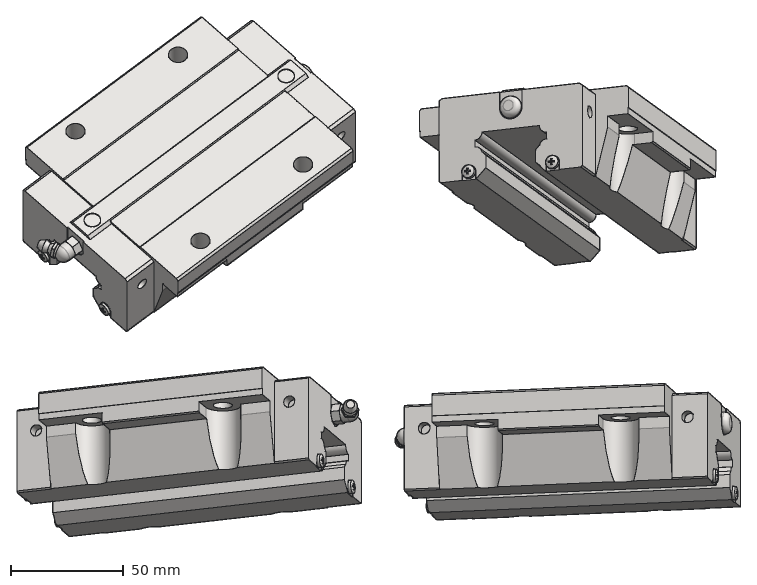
import cadquery as cq
import math


BLOCK_WIDTH = 100.0
BLOCK_LENGTH = 105.8
HEIGHT = 40.5
FLANGE_STEP_Z = 30.2
FLANGE_STEP = 0.3
FLANGE_EDGE_CHAMFER = 1.0
FLANGE_LUG_Z = 22.4
LUG_EDGE_CHAMFER = 0.6
SPOT_FACE_Z = 27.4
NECK_HALF_WIDTH = 40.0
SKIRT_TOP_Z = 22.3
SKIRT_BOTTOM_HALF_WIDTH = 34.2
TOP_RELIEF_DEPTH = 0.5
RELIEF_OUTER_X = 25.4
CENTER_LAND_HALF_WIDTH = 5.0

BOLT_SPACING_X = 82.0
BOLT_SPACING_Y = 62.0
BOLT_HOLE_DIAMETER = 8.5
SPOT_FACE_RADIUS = 8.1

OVERALL_CAP_LENGTH = 138.0
CAP_WIDTH = 68.4
CAP_HEIGHT = 39.0
CAP_CHAMFER_WIDTH = 1.4
CAP_CHAMFER_HEIGHT = 1.0
CAP_FOOT_CHAMFER = 0.7
SEAL_THICKNESS = 3.1
RIDGE_BASE_HALF_WIDTH = 6.5
TOP_PORT_DIAMETER = 7.4
TOP_PORT_DEPTH = 0.5
TOP_PORT_Y = 58.5
SIDE_PORT_DIAMETER = 5.2
SIDE_PORT_DEPTH = 6.0
SIDE_PORT_Y = 59.9
SIDE_PORT_Z = 28.0

CHANNEL_TOP_HALF_WIDTH = 13.7
RACE_HALF_WIDTH = 17.1
RACE_TOP_Z = 18.0
RACE_BOTTOM_Z = 14.9
CHANNEL_THROAT_HALF_WIDTH = 11.9
LOWER_RACE_SWEEP = 75.0
THROAT_BOTTOM_Z = 4.6

PORT_Z = 31.4
PORT_SLOT_HALF_WIDTH = 5.3
SEAL_SLOT_DEPTH = 0.5
SCREW_X = 20.0
SCREW_Z = 3.6
SCREW_SLOT_HALF_WIDTH = 3.2
SCREW_HEAD_RADIUS = 3.0
SCREW_RIM_HEIGHT = 1.1
SCREW_HEAD_HEIGHT = 1.8
CROSS_LENGTH = 2.8
CROSS_WIDTH = 0.7
CROSS_DEPTH = 1.0
PLUG_RADIUS = 5.0
PLUG_EDGE_ROUND = 2.6
PLUG_HEIGHT = 3.0
NIPPLE_HEX_ACROSS_CORNERS = 9.2
NIPPLE_HEX_HEIGHT = 3.6
ELBOW_RADIUS = 4.0
ELBOW_REACH = 6.93
NIPPLE_ANGLE = 22.0
COLLAR_ACROSS_CORNERS = 7.9
COLLAR_START = 3.5
COLLAR_END = 4.9
NIPPLE_NECK_START_RADIUS = 3.1
NIPPLE_NECK_RADIUS = 2.15
NIPPLE_NECK_STATION = 6.9
NIPPLE_HEAD_RADIUS = 3.2
NIPPLE_HEAD_STATION = 9.1
NIPPLE_TIP_RADIUS = 1.8
NIPPLE_TIP_STATION = 12.1

block_half_width = BLOCK_WIDTH / 2
block_end = BLOCK_LENGTH / 2
cap_end = OVERALL_CAP_LENGTH / 2
cap_length = cap_end - block_end
front, rear = -1, 1
sides = (-1, 1)


def mirrored_prism(half_outline, length, center_y=0.0):
    """Prism along Y from an outline drawn on the +X side, mirrored about X = 0."""
    outline = half_outline + [(-x, z) for x, z in reversed(half_outline)]
    prism = cq.Workplane("XZ").polyline(outline).close().extrude(length / 2, both=True)
    return prism.translate((0, center_y, 0))


def box_between(x_range, y_range, z_range):
    """Box spanning the given (low, high) range along each axis."""
    size = [high - low for low, high in (x_range, y_range, z_range)]
    return cq.Workplane("XY").box(*size, centered=False).translate((x_range[0], y_range[0], z_range[0]))


def make_block():
    relief_z = HEIGHT - TOP_RELIEF_DEPTH
    flange_side = block_half_width - FLANGE_STEP
    block = mirrored_prism(
        [
            (CENTER_LAND_HALF_WIDTH, HEIGHT),
            (CENTER_LAND_HALF_WIDTH + TOP_RELIEF_DEPTH, relief_z),
            (RELIEF_OUTER_X - TOP_RELIEF_DEPTH, relief_z),
            (RELIEF_OUTER_X, HEIGHT),
            (block_half_width - FLANGE_EDGE_CHAMFER, HEIGHT),
            (block_half_width, HEIGHT - FLANGE_EDGE_CHAMFER),
            (block_half_width, FLANGE_STEP_Z),
            (flange_side, FLANGE_STEP_Z),
            (flange_side, SPOT_FACE_Z),
            (NECK_HALF_WIDTH, SPOT_FACE_Z),
            (NECK_HALF_WIDTH, SKIRT_TOP_Z),
            (SKIRT_BOTTOM_HALF_WIDTH, 0),
        ],
        BLOCK_LENGTH,
    )
    lug_length = BOLT_SPACING_Y - 2 * SPOT_FACE_RADIUS
    lug = mirrored_prism(
        [
            (flange_side, SPOT_FACE_Z),
            (flange_side, FLANGE_LUG_Z + LUG_EDGE_CHAMFER),
            (flange_side - LUG_EDGE_CHAMFER, FLANGE_LUG_Z),
        ],
        lug_length,
    )
    lug_root = mirrored_prism(
        [(BOLT_SPACING_X / 2, SPOT_FACE_Z), (BOLT_SPACING_X / 2, FLANGE_LUG_Z)],
        BOLT_SPACING_Y,
    )
    block = block.union(lug).union(lug_root)
    bolts = cq.Workplane("XY").rarray(BOLT_SPACING_X, BOLT_SPACING_Y, 2, 2)
    spot_faces = bolts.circle(SPOT_FACE_RADIUS).extrude(SPOT_FACE_Z)
    holes = bolts.circle(BOLT_HOLE_DIAMETER / 2).extrude(HEIGHT)
    return block.cut(spot_faces).cut(holes)


def make_cap(end):
    half_width = CAP_WIDTH / 2
    cap = mirrored_prism(
        [
            (half_width - CAP_CHAMFER_WIDTH, CAP_HEIGHT),
            (half_width, CAP_HEIGHT - CAP_CHAMFER_HEIGHT),
            (half_width, CAP_FOOT_CHAMFER),
            (half_width - CAP_FOOT_CHAMFER, 0),
        ],
        cap_length,
        end * (block_end + cap_length / 2),
    )
    ridge_length = cap_length - SEAL_THICKNESS
    ridge = mirrored_prism(
        [(CENTER_LAND_HALF_WIDTH, HEIGHT), (RIDGE_BASE_HALF_WIDTH, CAP_HEIGHT)],
        ridge_length,
        end * (block_end + ridge_length / 2),
    )
    cap = cap.union(ridge)
    top_port = (
        cq.Workplane("XY", origin=(0, end * TOP_PORT_Y, HEIGHT))
        .circle(TOP_PORT_DIAMETER / 2)
        .extrude(-TOP_PORT_DEPTH)
    )
    cap = cap.cut(top_port)
    for side in sides:
        side_port = (
            cq.Workplane("YZ", origin=(side * half_width, end * SIDE_PORT_Y, SIDE_PORT_Z))
            .circle(SIDE_PORT_DIAMETER / 2)
            .extrude(-side * SIDE_PORT_DEPTH)
        )
        cap = cap.cut(side_port)
    return cap


def make_channel():
    """Cutter for the rail channel, with two convex raceways on each side."""
    race_radius = RACE_HALF_WIDTH - CHANNEL_TOP_HALF_WIDTH
    upper_center_z = RACE_TOP_Z + race_radius
    lower_center_z = RACE_BOTTOM_Z - race_radius

    def lower_race_point(sweep):
        angle = math.radians(sweep)
        x = RACE_HALF_WIDTH - race_radius * math.sin(angle)
        return (x, lower_center_z + race_radius * math.cos(angle))

    upper_offset = race_radius * math.sqrt(0.5)
    upper_mid = (RACE_HALF_WIDTH - upper_offset, upper_center_z - upper_offset)
    lower_end = lower_race_point(LOWER_RACE_SWEEP)
    throat_top_z = lower_end[1] - (lower_end[0] - CHANNEL_THROAT_HALF_WIDTH)
    half = (
        cq.Workplane("XZ")
        .moveTo(0, upper_center_z)
        .lineTo(CHANNEL_TOP_HALF_WIDTH, upper_center_z)
        .threePointArc(upper_mid, (RACE_HALF_WIDTH, RACE_TOP_Z))
        .lineTo(RACE_HALF_WIDTH, RACE_BOTTOM_Z)
        .threePointArc(lower_race_point(LOWER_RACE_SWEEP / 2), lower_end)
        .lineTo(CHANNEL_THROAT_HALF_WIDTH, throat_top_z)
        .lineTo(CHANNEL_THROAT_HALF_WIDTH, THROAT_BOTTOM_Z)
        .lineTo(CHANNEL_THROAT_HALF_WIDTH + THROAT_BOTTOM_Z, 0)
        .lineTo(0, 0)
        .close()
        .extrude(cap_end, both=True)
    )
    return half.union(half.mirror("YZ"))


def seal_slot(end, x, round_z, open_z, half_width):
    """U-shaped recess in a seal face, round at one end and open at the other."""
    y_range = sorted((end * cap_end, end * (cap_end - SEAL_SLOT_DEPTH)))
    straight = box_between((x - half_width, x + half_width), y_range, sorted((round_z, open_z)))
    rounded = (
        cq.Workplane("XZ", origin=(x, y_range[1], round_z))
        .circle(half_width)
        .extrude(SEAL_SLOT_DEPTH)
    )
    return straight.union(rounded)


def make_screw(end, x):
    """Domed seal screw head with a cross recess."""
    rim = SEAL_SLOT_DEPTH + SCREW_RIM_HEIGHT
    top = SEAL_SLOT_DEPTH + SCREW_HEAD_HEIGHT
    rise = top - rim
    dome_radius = (SCREW_HEAD_RADIUS**2 + rise**2) / (2 * rise)
    mid_x = SCREW_HEAD_RADIUS / 2
    mid_y = top - dome_radius + math.sqrt(dome_radius**2 - mid_x**2)
    head = (
        cq.Workplane("XY")
        .lineTo(SCREW_HEAD_RADIUS, 0)
        .lineTo(SCREW_HEAD_RADIUS, rim)
        .threePointArc((mid_x, mid_y), (0, top))
        .close()
        .revolve(360, (0, 0), (0, 1))
    )
    for size_x, size_z in ((CROSS_LENGTH, CROSS_WIDTH), (CROSS_WIDTH, CROSS_LENGTH)):
        bar = cq.Workplane("XY").box(size_x, 2 * CROSS_DEPTH, size_z)
        head = head.cut(bar.translate((0, top, 0)))
    if end == front:
        head = head.mirror("XZ")
    return head.translate((x, end * (cap_end - SEAL_SLOT_DEPTH), SCREW_Z))


def make_plug():
    plug = (
        cq.Workplane("XZ", origin=(0, cap_end + PLUG_HEIGHT, PORT_Z))
        .circle(PLUG_RADIUS)
        .extrude(PLUG_HEIGHT + SEAL_SLOT_DEPTH)
    )
    return plug.faces(">Y").edges().fillet(PLUG_EDGE_ROUND)


def make_nipple():
    """Elbowed grease nipple on the front seal, pointing outward and towards -X."""
    seat_y = -cap_end + SEAL_SLOT_DEPTH
    ball_center = cq.Vector(0, -cap_end - ELBOW_REACH, PORT_Z)
    base = cq.Workplane("XZ", origin=(0, seat_y, PORT_Z))
    hex_height = SEAL_SLOT_DEPTH + NIPPLE_HEX_HEIGHT
    hexagon = base.polygon(6, NIPPLE_HEX_ACROSS_CORNERS).extrude(hex_height)
    barrel = hexagon.faces("<Y").workplane(centerOption="CenterOfBoundBox")
    barrel = barrel.circle(ELBOW_RADIUS).extrude(ELBOW_REACH - NIPPLE_HEX_HEIGHT, combine=False)
    ball = cq.Workplane("XY").sphere(ELBOW_RADIUS).translate(ball_center.toTuple())

    angle = math.radians(NIPPLE_ANGLE)
    axis = cq.Vector(-math.cos(angle), -math.sin(angle), 0)
    across = cq.Vector(math.sin(angle), -math.cos(angle), 0)
    collar_plane = cq.Plane(origin=ball_center + axis * COLLAR_START, xDir=across, normal=axis)
    collar = cq.Workplane(collar_plane).polygon(6, COLLAR_ACROSS_CORNERS).extrude(COLLAR_END - COLLAR_START)
    stem_plane = cq.Plane(origin=ball_center, xDir=across, normal=(0, 0, across.cross(axis).z))
    stem = (
        cq.Workplane(stem_plane)
        .polyline(
            [
                (0, 0),
                (NIPPLE_NECK_START_RADIUS, 0),
                (NIPPLE_NECK_START_RADIUS, COLLAR_END),
                (NIPPLE_NECK_RADIUS, NIPPLE_NECK_STATION),
                (NIPPLE_HEAD_RADIUS, NIPPLE_HEAD_STATION),
                (NIPPLE_TIP_RADIUS, NIPPLE_TIP_STATION),
                (0, NIPPLE_TIP_STATION),
            ]
        )
        .close()
        .revolve(360, (0, 0), (0, 1))
    )
    return hexagon.union(barrel).union(ball).union(collar).union(stem)


result = make_block()
for end in (front, rear):
    result = result.union(make_cap(end))
result = result.cut(make_channel())
for end in (front, rear):
    result = result.cut(seal_slot(end, 0, PORT_Z, CAP_HEIGHT, PORT_SLOT_HALF_WIDTH))
    for side in sides:
        screw_x = side * SCREW_X
        result = result.cut(seal_slot(end, screw_x, SCREW_Z, 0, SCREW_SLOT_HALF_WIDTH))
        result = result.union(make_screw(end, screw_x))
result = result.union(make_plug()).union(make_nipple())